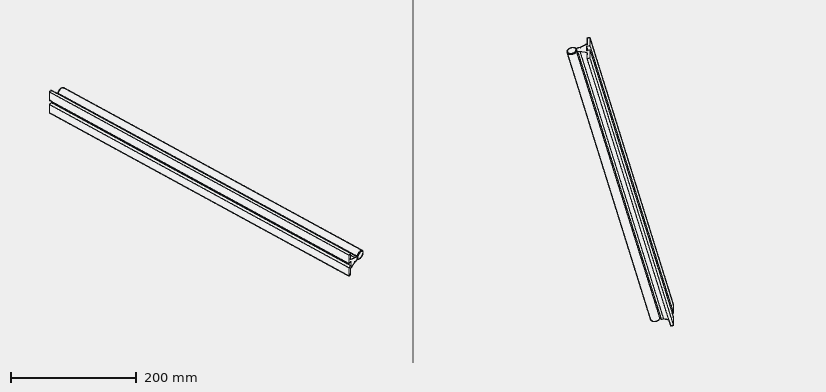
import cadquery as cq
import math

length = 600.0
overall_depth = 38.0
base_width = 48.0

shaft_diameter = 16.0
shaft_radius = shaft_diameter / 2
shaft_chamfer = 1.0
shaft_center_y = overall_depth - shaft_radius

shaft_overhang = 0.5
rail_length = length - 2 * shaft_overhang

flange_thickness = 5.0
web_root_half_width = 10.0
neck_start_y = 16.0
neck_end_y = 20.0
neck_half_width = 5.0
seat_half_width = 3.0
slot_half_width = 5.0
slot_depth = 5.5

seat_edge_y = shaft_center_y - math.sqrt(shaft_radius**2 - seat_half_width**2)
seat_bottom_y = shaft_center_y - shaft_radius


def make_support_rail():
    """Extrude the flanged, slotted support with its shaft seat."""
    base_half_width = base_width / 2
    return (
        cq.Workplane("YZ", origin=(shaft_overhang, 0, 0))
        .moveTo(0, slot_half_width)
        .lineTo(0, base_half_width)
        .lineTo(flange_thickness, base_half_width)
        .lineTo(flange_thickness, web_root_half_width)
        .lineTo(neck_start_y, neck_half_width)
        .lineTo(neck_end_y, neck_half_width)
        .lineTo(seat_edge_y, seat_half_width)
        .threePointArc((seat_bottom_y, 0), (seat_edge_y, -seat_half_width))
        .lineTo(neck_end_y, -neck_half_width)
        .lineTo(neck_start_y, -neck_half_width)
        .lineTo(flange_thickness, -web_root_half_width)
        .lineTo(flange_thickness, -base_half_width)
        .lineTo(0, -base_half_width)
        .lineTo(0, -slot_half_width)
        .lineTo(slot_depth, -slot_half_width)
        .lineTo(slot_depth, slot_half_width)
        .close()
        .extrude(rail_length)
    )


def make_shaft():
    """Make the full-length round shaft, chamfered at both ends."""
    return (
        cq.Workplane("YZ")
        .center(shaft_center_y, 0)
        .circle(shaft_radius)
        .extrude(length)
        .faces("<X or >X")
        .chamfer(shaft_chamfer)
    )


support_rail = make_support_rail()
shaft = make_shaft()

result = cq.Compound.makeCompound([support_rail.val(), shaft.val()])